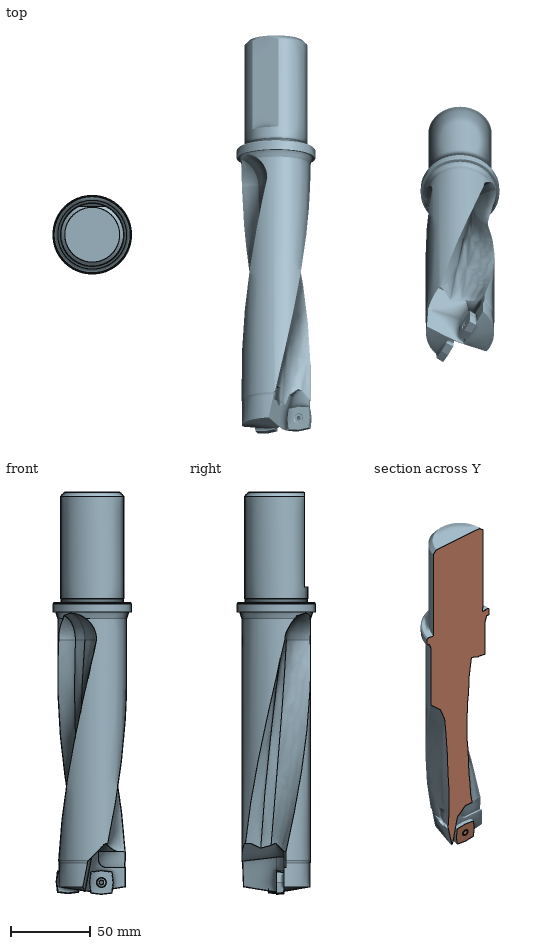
import cadquery as cq
import math

CLEAR = 30.0

TOTAL_LENGTH = 253.81
FLANGE_TOP = 184.1
FLANGE_BOTTOM = 178.1
NECK_BOTTOM = 174.0
HEAD_TOP = 19.8
HEAD_STEP_HEIGHT = 1.5

SHANK_DIA = 39.99
SHANK_CHAMFER = 2.7
UNDERCUT_DIA = 39.29
UNDERCUT_HEIGHT = 2.3
FLANGE_DIA = 49.6
FLANGE_CHAMFER = 0.8
FLANGE_RECESS_DIA = 43.4
FLANGE_RECESS_DEPTH = 0.4
NECK_DIA = 46.0
BODY_DIA = 43.5
HEAD_DIA = 42.9
POINT_HEIGHT = 3.8
POINT_CLEARANCE = 1.0
FLAT_OFFSET = 17.9
FLAT_BOTTOM = 193.9

CORE_RADIUS = 7.9
FLUTE_ARC_RADIUS = 18.0
FLOOR_WIDTH = 6.5
FLOOR_RISE = 1.2
FLANK_ANGLE = 46.0
FLUTE_START = 16.9
FLUTE_END = 160.5
FLUTE_END_ANGLE = 234.0
FLUTE_TWIST_RATE = 0.605
RUNOUT_RADIUS = 17.0

SEAT_TOP = 27.0
POCKET_TOP = 32.0
WALL_SLANT = 2.0
WALL_TILT = 11.0
WALL_PIVOT = 15.5
SHOULDER_BOTTOM = 21.0
WEB_INNER_X = -1.8
WEB_OUTER_X = -7.5

CHIP_RECESS_LEFT_X = 4.0
CHIP_RECESS_CORNER_RADIUS = 5.0
CHIP_RECESS_FLOOR_Y = 6.0
CHIP_RECESS_TOP = SEAT_TOP
SLOT_NEAR_Y = 6.6
SLOT_WIDTH = 7.9
SLOT_BOTTOM = 14.6
SLOT_FLOOR_X = -4.0

INSERT_HALF = 7.5
INSERT_CORNER_HALF = 6.7
INSERT_THICKNESS = 4.8
INSERT_RELIEF_ANGLE = 5.0
DRILL_DIA = 45.5
INNER_INSERT_X = 5.8
INNER_INSERT_Z = INSERT_HALF
OUTER_INSERT_X = INSERT_HALF - DRILL_DIA / 2
OUTER_INSERT_Z = 8.0
SINK_DIA = 6.2
CLEARANCE_DIA = 4.0
SINK_DEPTH = (SINK_DIA - CLEARANCE_DIA) / 2
SCREW_HEAD_DIA = 5.6
HEAD_RECESS = (SINK_DIA - SCREW_HEAD_DIA) / 2
SCREW_THREAD_DIA = 3.5
SCREW_LENGTH = 11.0
SOCKET_WIDTH = 2.5
SOCKET_DEPTH = 1.5


def half_turn(shape):
    return shape.rotate((0, 0, 0), (0, 0, 1), 180)


def turned_blank():
    """Shank, undercut, flange, neck, fluted length and head as one turned profile."""
    shank_r = SHANK_DIA / 2
    undercut_r = UNDERCUT_DIA / 2
    flange_r = FLANGE_DIA / 2
    body_r = BODY_DIA / 2
    head_r = HEAD_DIA / 2
    undercut_top = FLANGE_TOP + UNDERCUT_HEIGHT
    profile = [
        (0, POINT_CLEARANCE),
        (head_r, POINT_CLEARANCE + POINT_HEIGHT),
        (head_r, HEAD_TOP),
        (body_r, HEAD_TOP + HEAD_STEP_HEIGHT),
        (body_r, NECK_BOTTOM),
        (NECK_DIA / 2, FLANGE_BOTTOM),
        (flange_r, FLANGE_BOTTOM),
        (flange_r, FLANGE_TOP - FLANGE_CHAMFER),
        (flange_r - FLANGE_CHAMFER, FLANGE_TOP),
        (FLANGE_RECESS_DIA / 2, FLANGE_TOP),
        (FLANGE_RECESS_DIA / 2, FLANGE_TOP - FLANGE_RECESS_DEPTH),
        (undercut_r, FLANGE_TOP - FLANGE_RECESS_DEPTH),
        (undercut_r, undercut_top),
        (shank_r, undercut_top + shank_r - undercut_r),
        (shank_r, TOTAL_LENGTH - SHANK_CHAMFER),
        (shank_r - SHANK_CHAMFER, TOTAL_LENGTH),
        (0, TOTAL_LENGTH),
    ]
    return cq.Workplane("XZ").polyline(profile).close().revolve(360, (0, 0), (0, 1))


def shank_flat():
    """Clamping flat on the +Y side of the shank."""
    return (
        cq.Workplane("XY", origin=(0, FLAT_OFFSET, FLAT_BOTTOM))
        .box(SHANK_DIA, SHANK_DIA, TOTAL_LENGTH, centered=(True, False, False))
    )


def flute_section():
    """Flute section at angle zero: straight flank, slanted floor and a round trailing side."""
    open_side = CORE_RADIUS + RUNOUT_RADIUS
    floor_end = (CORE_RADIUS + FLOOR_RISE, -FLOOR_WIDTH)
    flank_run = open_side - floor_end[0]
    flank_end = (open_side, -FLOOR_WIDTH - flank_run / math.tan(math.radians(FLANK_ANGLE)))
    sweep = math.acos(1 - RUNOUT_RADIUS / FLUTE_ARC_RADIUS)

    def arc_point(angle):
        return (
            CORE_RADIUS + FLUTE_ARC_RADIUS * (1 - math.cos(angle)),
            FLUTE_ARC_RADIUS * math.sin(angle),
        )

    return (
        cq.Workplane("XY")
        .moveTo(*flank_end)
        .lineTo(*floor_end)
        .lineTo(CORE_RADIUS, 0)
        .threePointArc(arc_point(sweep / 2), arc_point(sweep))
        .close()
    )


def flute():
    """Helical groove, with a rounded runout at its upper end."""
    length = FLUTE_END - FLUTE_START
    twist = FLUTE_TWIST_RATE * length
    groove = (
        flute_section()
        .twistExtrude(length, twist)
        .rotate((0, 0, 0), (0, 0, 1), FLUTE_END_ANGLE - twist)
        .translate((0, 0, FLUTE_START))
    )
    open_side = CORE_RADIUS + RUNOUT_RADIUS
    runout = (
        flute_section()
        .revolve(180, (open_side, 0), (open_side, 1))
        .rotate((0, 0, 0), (0, 0, 1), FLUTE_END_ANGLE)
        .translate((0, 0, FLUTE_END))
    )
    return groove, runout


def insert_pocket(web_x):
    """Open pocket with a flat seat at +Y, a leaning side wall at web_x and a sloped top."""
    wall_x = web_x - WALL_SLANT
    side = (
        cq.Workplane("XY")
        .polyline([
            (web_x, INSERT_THICKNESS),
            (web_x, 0),
            (wall_x, -BODY_DIA / 2),
            (wall_x, -CLEAR),
            (2 * CLEAR, -CLEAR),
            (2 * CLEAR, INSERT_THICKNESS),
        ])
        .close()
        .extrude(3 * CLEAR)
        .translate((0, 0, -CLEAR))
        .rotate((0, 0, WALL_PIVOT), (0, 1, WALL_PIVOT), WALL_TILT)
    )
    shoulder_x = wall_x + (SHOULDER_BOTTOM - WALL_PIVOT) * math.tan(math.radians(WALL_TILT))
    front = (
        cq.Workplane("XZ")
        .polyline([
            (-CLEAR, -CLEAR),
            (-CLEAR, SHOULDER_BOTTOM),
            (shoulder_x, SHOULDER_BOTTOM),
            (shoulder_x + POCKET_TOP - SHOULDER_BOTTOM, POCKET_TOP),
            (CLEAR, POCKET_TOP),
            (CLEAR, -CLEAR),
        ])
        .close()
        .extrude(CLEAR, both=True)
    )
    seat = (
        cq.Workplane("YZ")
        .polyline([
            (INSERT_THICKNESS, -CLEAR),
            (INSERT_THICKNESS, SEAT_TOP),
            (INSERT_THICKNESS - POCKET_TOP + SEAT_TOP, POCKET_TOP),
            (-CLEAR, POCKET_TOP),
            (-CLEAR, -CLEAR),
        ])
        .close()
        .extrude(CLEAR, both=True)
    )
    return side.intersect(front).intersect(seat)


def chip_recess():
    """Step behind the seat plane that lets chips pass from the insert into the flute."""
    return (
        cq.Workplane("XZ", origin=(0, CHIP_RECESS_FLOOR_Y, 0))
        .moveTo(CHIP_RECESS_LEFT_X, CHIP_RECESS_TOP)
        .lineTo(CHIP_RECESS_LEFT_X, FLUTE_START + CHIP_RECESS_CORNER_RADIUS)
        .radiusArc((CHIP_RECESS_LEFT_X + CHIP_RECESS_CORNER_RADIUS, FLUTE_START), -CHIP_RECESS_CORNER_RADIUS)
        .lineTo(CLEAR, FLUTE_START)
        .lineTo(CLEAR, CHIP_RECESS_TOP)
        .close()
        .extrude(CLEAR)
    )


def chip_slot():
    """Round-bottomed slot in the side wall of the outer insert's pocket."""
    radius = SLOT_WIDTH / 2
    slot_y = SLOT_NEAR_Y + radius
    return (
        cq.Workplane("YZ", origin=(SLOT_FLOOR_X, 0, 0))
        .moveTo(slot_y - radius, CHIP_RECESS_TOP)
        .lineTo(slot_y - radius, SLOT_BOTTOM + radius)
        .threePointArc((slot_y, SLOT_BOTTOM), (slot_y + radius, SLOT_BOTTOM + radius))
        .lineTo(slot_y + radius, CHIP_RECESS_TOP)
        .close()
        .extrude(-CLEAR)
    )


def cutting_insert():
    """Four-edged insert with bowed sides; cutting face at y = 0, seat towards +Y, centred on x and z."""
    outline = []
    for quarter in range(4):
        turn = math.radians(90 * quarter)
        for x, z in ((INSERT_HALF, 0), (INSERT_CORNER_HALF, INSERT_CORNER_HALF)):
            outline.append((
                x * math.cos(turn) - z * math.sin(turn),
                x * math.sin(turn) + z * math.cos(turn),
            ))
    blank = (
        cq.Workplane("XZ")
        .polyline(outline)
        .close()
        .extrude(-INSERT_THICKNESS, taper=INSERT_RELIEF_ANGLE)
    )
    screw_passage = cq.Workplane("XY").polyline([
        (0, 0),
        (SINK_DIA / 2, 0),
        (CLEARANCE_DIA / 2, SINK_DEPTH),
        (CLEARANCE_DIA / 2, INSERT_THICKNESS),
        (0, INSERT_THICKNESS),
    ]).close().revolve(360, (0, 0), (0, 1))
    return blank.cut(screw_passage)


def insert_screw():
    """Countersunk screw along +Y that bears on the insert's conical sink, with a hexagon socket."""
    screw = cq.Workplane("XY").polyline([
        (0, HEAD_RECESS),
        (SCREW_HEAD_DIA / 2, HEAD_RECESS),
        (CLEARANCE_DIA / 2, SINK_DEPTH),
        (SCREW_THREAD_DIA / 2, SINK_DEPTH),
        (SCREW_THREAD_DIA / 2, SCREW_LENGTH),
        (0, SCREW_LENGTH),
    ]).close().revolve(360, (0, 0), (0, 1))
    socket = (
        cq.Workplane("XZ", origin=(0, HEAD_RECESS, 0))
        .polygon(6, SOCKET_WIDTH, circumscribed=True)
        .extrude(-SOCKET_DEPTH)
    )
    return screw.cut(socket)


def screw_hole():
    """Threaded screw hole from the seat down to the screw's end."""
    return (
        cq.Workplane("XZ", origin=(0, INSERT_THICKNESS, 0))
        .circle(SCREW_THREAD_DIA / 2)
        .extrude(INSERT_THICKNESS - SCREW_LENGTH)
    )


def place_inner(shape):
    return shape.translate((INNER_INSERT_X, 0, INNER_INSERT_Z))


def place_outer(shape):
    return half_turn(shape).translate((OUTER_INSERT_X, 0, OUTER_INSERT_Z))


drill_body = turned_blank().cut(shank_flat())
for groove_part in flute():
    drill_body = drill_body.cut(groove_part).cut(half_turn(groove_part))
drill_body = drill_body.cut(insert_pocket(WEB_INNER_X))
drill_body = drill_body.cut(half_turn(insert_pocket(-WEB_OUTER_X)))
drill_body = drill_body.cut(chip_recess()).cut(chip_slot())
drill_body = drill_body.cut(place_inner(screw_hole())).cut(place_outer(screw_hole()))

inner_insert = place_inner(cutting_insert())
outer_insert = place_outer(cutting_insert())
screws = [place(insert_screw()) for place in (place_inner, place_outer)]

bodies = [drill_body, inner_insert, outer_insert, *screws]
result = cq.Compound.makeCompound([body.solids().val() for body in bodies])